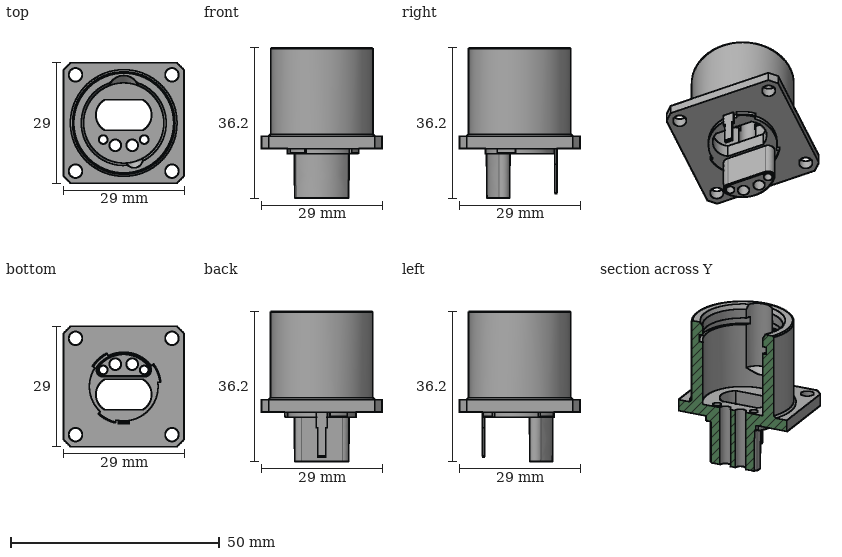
import cadquery as cq
import math

flange_side = 29.0
flange_thickness = 3.0
flange_corner_chamfer = 1.8
mount_hole_diameter = 3.18
mount_hole_spacing = 23.1

overall_height = 36.15
shell_top = 24.22
shell_radius = 12.3
shell_top_chamfer = 0.33
shell_foot = 0.5

bore_radius = 9.6
mouth_radius = 10.2
mouth_depth = 1.1
floor_z = flange_thickness
groove_radius = 10.38
groove_depth = 3.4
groove_width = 1.7

keyway_depth = 16.25
keyway_cone_angle = 40.0
main_keyway_radius = 3.7
main_keyway_offset = 7.7
main_keyway_angle = 90.0
small_keyway_radius = 2.05
small_keyway_offset = 9.05
small_keyway_angle = -74.0

disc_radius = 8.25
disc_height = 1.23
lug_radius = 8.95
lug_chamfer = 0.2
lug_span = 30.0
lug_start_angles = (103.0, 213.0, 323.0)

boss_bottom = shell_top - overall_height
boss_end_radius = 1.65
boss_end_x = 4.9
boss_end_y = -3.98
boss_draft = 0.4
boss_bottom_chamfer = 0.2

small_contact_diameter = 2.02
large_contact_diameter = 2.75
large_contact_x = 2.02
large_contact_y = -5.35
slot_length = 13.3
slot_width = 7.25
slot_y = 1.9
slot_end_radius = 4.2

tab_y = 8.68
tab_thickness = 0.6
tab_root_width = 2.53
tab_width = 1.8
tab_shoulder_z = -3.8
tab_bottom = -10.85
tab_tip_chamfer_height = 0.45
tab_tip_chamfer_depth = 0.18


def revolve_profile(points, angle=360):
    """Revolve a closed (radius, Z) outline about the Z axis."""
    return cq.Workplane("XZ").polyline(points).close().revolve(angle, (0, 0, 0), (0, 1, 0))


def cylinder(radius, bottom, top):
    return cq.Workplane("XY").workplane(offset=bottom).circle(radius).extrude(top - bottom)


def make_flange():
    flange = (
        cq.Workplane("XY")
        .rect(flange_side, flange_side)
        .extrude(flange_thickness)
        .edges("|Z")
        .chamfer(flange_corner_chamfer)
    )
    return (
        flange.faces(">Z")
        .workplane()
        .rect(mount_hole_spacing, mount_hole_spacing, forConstruction=True)
        .vertices()
        .hole(mount_hole_diameter)
    )


def make_shell():
    """Outer cylinder with a bevelled top rim and a flared foot."""
    return revolve_profile([
        (0, floor_z),
        (shell_radius + shell_foot, flange_thickness),
        (shell_radius, flange_thickness + shell_foot),
        (shell_radius, shell_top - shell_top_chamfer),
        (shell_radius - shell_top_chamfer, shell_top),
        (0, shell_top),
    ])


def make_cavity():
    """Bore with a conical mouth and one internal groove."""
    groove_top = shell_top - groove_depth
    groove_bottom = groove_top - groove_width
    return revolve_profile([
        (0, floor_z),
        (bore_radius, floor_z),
        (bore_radius, groove_bottom),
        (groove_radius, groove_bottom),
        (groove_radius, groove_top),
        (bore_radius, groove_top),
        (bore_radius, shell_top - mouth_depth),
        (mouth_radius, shell_top),
        (0, shell_top),
    ])


def make_keyway(radius, offset, angle):
    """Cutter for one keyway; the cone stops where it meets the bore wall."""
    shoulder_z = shell_top - keyway_depth
    inner_radius = bore_radius - offset
    cone_height = (radius - inner_radius) * math.tan(math.radians(keyway_cone_angle))
    cone_end_z = shoulder_z - cone_height
    cutter = revolve_profile([
        (0, cone_end_z),
        (inner_radius, cone_end_z),
        (radius, shoulder_z),
        (radius, shell_top),
        (0, shell_top),
    ])
    return cutter.translate((offset, 0, 0)).rotate((0, 0, 0), (0, 0, 1), angle)


def make_lug(start_angle):
    lug = revolve_profile(
        [
            (0, 0),
            (lug_radius, 0),
            (lug_radius, lug_chamfer - disc_height),
            (lug_radius - lug_chamfer, -disc_height),
            (0, -disc_height),
        ],
        lug_span,
    )
    sweep_centre = lug.val().Center()
    centre_angle = math.degrees(math.atan2(sweep_centre.y, sweep_centre.x))
    return lug.rotate((0, 0, 0), (0, 0, 1), start_angle + lug_span / 2 - centre_angle)


def make_boss():
    end_distance = math.hypot(boss_end_x, boss_end_y)
    front_radius = end_distance + boss_end_radius
    tangent_x = boss_end_x * front_radius / end_distance
    tangent_y = boss_end_y * front_radius / end_distance
    back_y = boss_end_y + boss_end_radius
    side_x = boss_end_x + boss_end_radius
    return (
        cq.Workplane("XY")
        .workplane(offset=-disc_height)
        .moveTo(-boss_end_x, back_y)
        .lineTo(boss_end_x, back_y)
        .threePointArc((side_x, boss_end_y), (tangent_x, tangent_y))
        .threePointArc((0, -front_radius), (-tangent_x, tangent_y))
        .threePointArc((-side_x, boss_end_y), (-boss_end_x, back_y))
        .close()
        .extrude(boss_bottom + disc_height, taper=boss_draft)
        .faces("<Z")
        .chamfer(boss_bottom_chamfer)
    )


def make_tab():
    root = cq.Workplane("XY").rect(tab_root_width, tab_thickness).extrude(tab_shoulder_z)
    half = tab_thickness / 2
    tip_half = half - tab_tip_chamfer_depth
    chamfer_top = tab_bottom + tab_tip_chamfer_height
    blade = (
        cq.Workplane("YZ")
        .polyline([
            (-half, 0),
            (-half, chamfer_top),
            (-tip_half, tab_bottom),
            (tip_half, tab_bottom),
            (half, chamfer_top),
            (half, 0),
        ])
        .close()
        .extrude(tab_width / 2, both=True)
    )
    return root.union(blade).translate((0, tab_y, 0))


def make_slot():
    """Window with straight long sides and bowed ends."""
    half_width = slot_width / 2
    half_length = slot_length / 2
    end_centre_x = half_length - slot_end_radius
    corner_x = end_centre_x + math.sqrt(slot_end_radius**2 - half_width**2)
    return (
        cq.Workplane("XY")
        .workplane(offset=-disc_height)
        .center(0, slot_y)
        .moveTo(-corner_x, half_width)
        .lineTo(corner_x, half_width)
        .threePointArc((half_length, 0), (corner_x, -half_width))
        .lineTo(-corner_x, -half_width)
        .threePointArc((-half_length, 0), (-corner_x, half_width))
        .close()
        .extrude(disc_height + floor_z)
    )


def make_contact_holes(x, y, diameter):
    """A mirrored pair of holes from the cavity floor through the boss."""
    hole = cylinder(diameter / 2, boss_bottom, floor_z)
    return hole.translate((x, y, 0)).union(hole.translate((-x, y, 0)))


housing = make_flange().union(make_shell()).cut(make_cavity())
housing = housing.cut(make_keyway(main_keyway_radius, main_keyway_offset, main_keyway_angle))
housing = housing.cut(make_keyway(small_keyway_radius, small_keyway_offset, small_keyway_angle))

insert = cylinder(disc_radius, -disc_height, 0).union(make_boss())
for lug_angle in lug_start_angles:
    insert = insert.union(make_lug(lug_angle))

result = housing.union(insert).union(make_tab())
result = result.cut(make_slot())
result = result.cut(make_contact_holes(boss_end_x, boss_end_y, small_contact_diameter))
result = result.cut(make_contact_holes(large_contact_x, large_contact_y, large_contact_diameter))